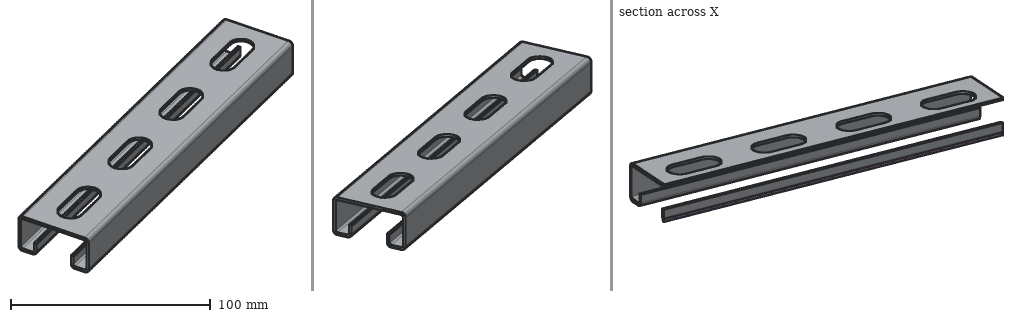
import cadquery as cq


width = 41.0
length = 200.0
height = 21.0

thickness = 1.5
bend_outer = 2.5
bend_inner = bend_outer - thickness

opening = 20.0
lip_height = 7.0

slot_length = 30.0
slot_width = 13.0
slot_pitch = 50.0
slot_count = 4


def half_section():
    """Section of the +X half, from the mid-plane around the back, side, flange and lip."""
    side_out = width / 2
    side_in = side_out - thickness
    lip_in = opening / 2
    lip_out = lip_in + thickness
    top_out = height
    top_in = top_out - thickness
    floor_in = thickness
    return (
        cq.Workplane("XZ", origin=(0, length / 2, 0))
        .moveTo(0, top_out)
        .lineTo(side_out - bend_outer, top_out)
        .radiusArc((side_out, top_out - bend_outer), bend_outer)
        .lineTo(side_out, bend_outer)
        .radiusArc((side_out - bend_outer, 0), bend_outer)
        .lineTo(lip_in + bend_outer, 0)
        .radiusArc((lip_in, bend_outer), bend_outer)
        .lineTo(lip_in, lip_height)
        .lineTo(lip_out, lip_height)
        .lineTo(lip_out, bend_outer)
        .radiusArc((lip_out + bend_inner, floor_in), -bend_inner)
        .lineTo(side_in - bend_inner, floor_in)
        .radiusArc((side_in, floor_in + bend_inner), -bend_inner)
        .lineTo(side_in, top_in - bend_inner)
        .radiusArc((side_in - bend_inner, top_in), -bend_inner)
        .lineTo(0, top_in)
        .close()
    )


def channel():
    half = half_section().extrude(length)
    return half.union(half.mirror("YZ")).clean()


def slot_cutters():
    """Round-ended cutters, long axis along Y, spanning just the back sheet."""
    return (
        cq.Workplane("XY", origin=(0, 0, height - thickness))
        .rarray(1, slot_pitch, 1, slot_count)
        .slot2D(slot_length, slot_width, 90)
        .extrude(thickness)
    )


result = channel().cut(slot_cutters())